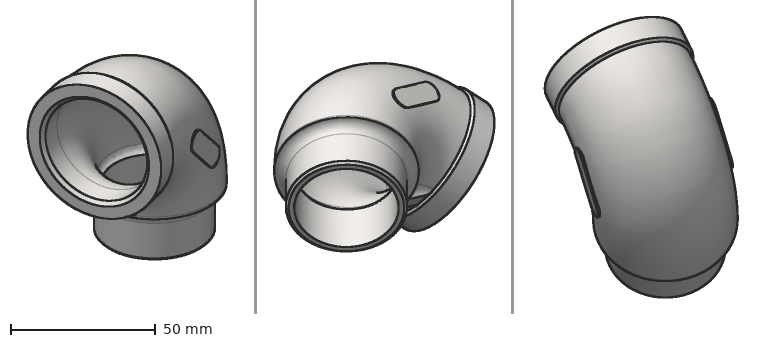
import cadquery as cq
import math

collar_diameter = 52.0
body_diameter = 50.0
spigot_diameter = 41.9
overall_length = 70.0
overall_height = 81.0
bend_radius = 35.0
spigot_chamfer = 1.0
neck_rim = 1.0
bore_diameter = 39.5
spigot_bore_diameter = 36.05
floor_fillet = 4.0
mouth_diameter = 42.5
web_thickness = 6.0
web_fillet = 3.0
badge_length = 26.0
badge_width = 8.0
badge_height = 0.3

body_radius = body_diameter / 2
collar_radius = collar_diameter / 2
spigot_radius = spigot_diameter / 2
bore_radius = bore_diameter / 2
mouth_depth = (mouth_diameter - bore_diameter) / 2
face_y = body_radius - overall_length
axis_z = overall_height - collar_radius
bend_start_z = axis_z - bend_radius
collar_length = -face_y - bend_radius
neck_fillet = body_radius - spigot_radius
neck_top_z = bend_start_z - neck_rim
neck_bottom_z = neck_top_z - neck_fillet
throat_radius = bend_radius - body_radius
pivot = (0, -bend_radius, bend_start_z)


def bend():
    """Quarter-torus elbow from the spigot end up to the socket end."""
    return (
        cq.Workplane("XY", origin=(0, 0, bend_start_z))
        .circle(body_radius)
        .revolve(90, (0, -bend_radius, 0), (1, -bend_radius, 0))
    )


def spigot():
    """Male end, flared to the body by a concave fillet."""
    arc_offset = neck_fillet * (1 - math.sqrt(0.5))
    return (
        cq.Workplane("XZ")
        .moveTo(0, 0)
        .lineTo(spigot_radius - spigot_chamfer, 0)
        .lineTo(spigot_radius, spigot_chamfer)
        .lineTo(spigot_radius, neck_bottom_z)
        .threePointArc(
            (spigot_radius + arc_offset, neck_top_z - arc_offset),
            (body_radius, neck_top_z),
        )
        .lineTo(body_radius, bend_start_z)
        .lineTo(0, bend_start_z)
        .close()
        .revolve(360, (0, 0), (0, 1))
    )


def collar():
    """Female end ring, chamfered where it meets the bend."""
    return (
        cq.Workplane("XZ", origin=(0, -bend_radius, axis_z))
        .circle(collar_radius)
        .extrude(collar_length)
        .faces(">Y")
        .chamfer(collar_radius - body_radius)
    )


def throat_web():
    """Web across the inside of the bend, blended to the body and cut off flat at 45 degrees."""
    half = web_thickness / 2
    blend_x = half + web_fillet
    center_distance = body_radius + web_fillet
    blend_angle = math.asin(blend_x / center_distance)
    blend_depth = center_distance * math.cos(blend_angle)
    tangent_x = body_radius * math.sin(blend_angle)
    tangent_depth = body_radius * math.cos(blend_angle)
    mid_angle = (math.pi / 2 + blend_angle) / 2
    mid_x = blend_x - web_fillet * math.sin(mid_angle)
    mid_depth = blend_depth - web_fillet * math.cos(mid_angle)
    root_depth = body_radius - web_fillet

    ring = (
        cq.Workplane("XY", origin=(0, 0, bend_start_z))
        .moveTo(-half, -bend_radius)
        .lineTo(half, -bend_radius)
        .lineTo(half, -blend_depth)
        .threePointArc((mid_x, -mid_depth), (tangent_x, -tangent_depth))
        .lineTo(tangent_x, -root_depth)
        .lineTo(-tangent_x, -root_depth)
        .lineTo(-tangent_x, -tangent_depth)
        .threePointArc((-mid_x, -mid_depth), (-half, -blend_depth))
        .close()
        .revolve(90, (0, -bend_radius, 0), (1, -bend_radius, 0))
    )
    corner = (
        cq.Workplane("YZ", origin=pivot)
        .polyline([(0, 0), (throat_radius, 0), (0, throat_radius)])
        .close()
        .extrude(body_radius, both=True)
    )
    return ring.cut(corner)


def badges():
    """Flat rounded pads on both flanks, tilted 45 degrees at the middle of the bend."""
    middle = bend_radius * math.sqrt(0.5)
    return (
        cq.Workplane("YZ", origin=(0, middle - bend_radius, bend_start_z + middle))
        .transformed(rotate=(0, 0, -45))
        .slot2D(badge_length, badge_width)
        .extrude(body_radius + badge_height, both=True)
    )


def bend_bore():
    """Curved passage, ending above the spigot in a flat floor with a rounded corner."""
    torus = cq.Solid.makeTorus(bend_radius, bore_radius, cq.Vector(*pivot), cq.Vector(1, 0, 0))
    ring = cq.Workplane(torus)
    quarter_size = bend_radius + body_radius
    quarter = (
        cq.Workplane("YZ", origin=(0, -bend_radius, neck_top_z))
        .rect(quarter_size, quarter_size, centered=False)
        .extrude(body_radius, both=True)
    )
    return ring.intersect(quarter).faces("<Z").edges().fillet(floor_fillet)


def bore():
    """Passage through both ends and the bend, with a countersunk socket mouth."""
    spigot_bore = cq.Workplane("XY").circle(spigot_bore_diameter / 2).extrude(bend_start_z)
    socket_bore = (
        cq.Workplane("XZ", origin=(0, face_y, axis_z))
        .circle(bore_radius)
        .extrude(-collar_length)
    )
    mouth = (
        cq.Workplane("XZ", origin=(0, face_y, axis_z))
        .circle(mouth_diameter / 2)
        .extrude(-mouth_depth, taper=45)
    )
    return bend_bore().union(spigot_bore).union(socket_bore).union(mouth)


body = bend().union(spigot()).union(collar())
body = body.union(throat_web()).union(badges())
result = body.cut(bore())